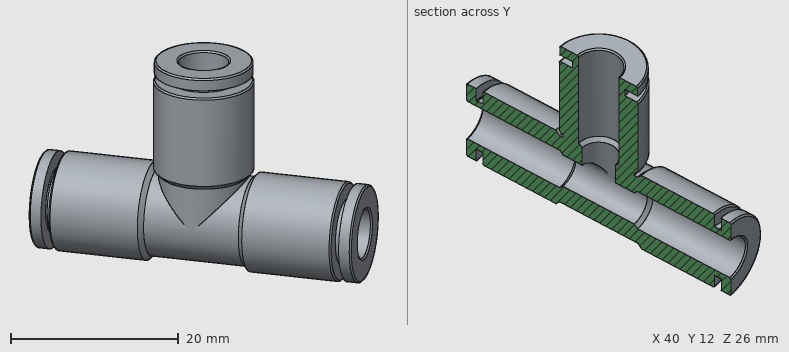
import cadquery as cq

run_length = 40.0
arm_reach = run_length / 2

core_diameter = 10.8
body_diameter = 12.0
neck_diameter = 8.0
relief_diameter = 7.9
flange_diameter = 11.8

run_shoulder_start = 5.9
branch_shoulder_start = 5.65
shoulder_length = (body_diameter - core_diameter) / 2
flange_thickness = 1.5
neck_length = 0.95
relief_length = 0.2
flange_start = arm_reach - flange_thickness
relief_start = flange_start - relief_length
body_end = flange_start - neck_length
edge_chamfer = 0.2

passage_diameter = 5.0
socket_diameter = 6.0
seat_end = run_shoulder_start
seat_start = seat_end - (socket_diameter - passage_diameter) / 2


def arm_outline(shoulder_start):
    """(radius, distance from centre) points along the outside of an arm."""
    core_radius = core_diameter / 2
    body_radius = body_diameter / 2
    neck_radius = neck_diameter / 2
    relief_radius = relief_diameter / 2
    flange_radius = flange_diameter / 2
    return [
        (core_radius, shoulder_start),
        (body_radius, shoulder_start + shoulder_length),
        (body_radius, body_end - edge_chamfer),
        (body_radius - edge_chamfer, body_end),
        (neck_radius, body_end),
        (neck_radius, relief_start),
        (relief_radius, relief_start),
        (relief_radius, flange_start),
        (flange_radius, flange_start),
        (flange_radius, arm_reach - edge_chamfer),
        (flange_radius - edge_chamfer, arm_reach),
    ]


def bore_outline():
    """(radius, distance from centre) points along the wall of an arm's bore."""
    passage_radius = passage_diameter / 2
    socket_radius = socket_diameter / 2
    return [
        (passage_radius, seat_start),
        (socket_radius, seat_end),
        (socket_radius, arm_reach - edge_chamfer),
        (socket_radius + edge_chamfer, arm_reach),
    ]


def make_run(outline):
    """Revolve an arm outline and its mirror image about the X axis."""
    right_side = [(distance, radius) for radius, distance in outline]
    left_side = [(-distance, radius) for distance, radius in reversed(right_side)]
    points = [(-arm_reach, 0)] + left_side + right_side + [(arm_reach, 0)]
    return cq.Workplane("XZ").polyline(points).close().revolve(360, (0, 0), (1, 0))


def make_branch(outline):
    """Revolve an arm outline about the Z axis, from the tee centre upward."""
    inner_radius = outline[0][0]
    points = [(0, 0), (inner_radius, 0)] + outline + [(0, arm_reach)]
    return cq.Workplane("XZ").polyline(points).close().revolve(360, (0, 0), (0, 1))


run = make_run(arm_outline(run_shoulder_start))
branch = make_branch(arm_outline(branch_shoulder_start))
run_bore = make_run(bore_outline())
branch_bore = make_branch(bore_outline())

result = run.union(branch).cut(run_bore).cut(branch_bore)